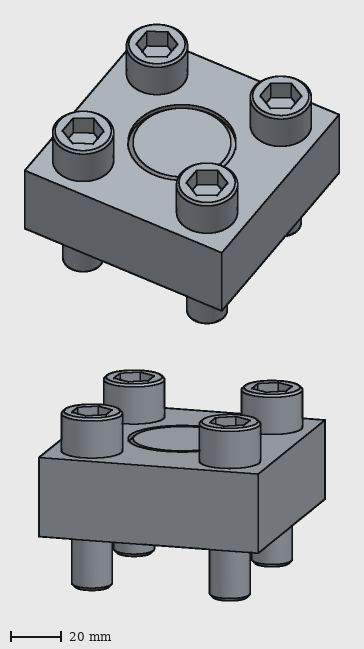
import cadquery as cq
import math

plate_side = 90.0
plate_thickness = 32.0

spigot_diameter = 60.0
spigot_height = 4.0

plug_diameter = 42.4
plug_chamfer = 2.0

bolt_circle_diameter = 80.0
screw_pitch = bolt_circle_diameter / math.sqrt(2)
head_diameter = 24.0
head_height = 16.0
head_chamfer = 1.0
shank_diameter = 16.0
shank_projection = 22.95
shank_chamfer = 1.35
socket_across_flats = 14.0
socket_depth = 8.0


def make_plate():
    """Plate with the spigot below and the ring groove around the plug on top."""
    plate = cq.Workplane("XY").box(
        plate_side, plate_side, plate_thickness, centered=(True, True, False)
    )
    spigot = cq.Workplane("XY").circle(spigot_diameter / 2).extrude(-spigot_height)
    bore = (
        cq.Workplane("XY", origin=(0, 0, plate_thickness))
        .circle(plug_diameter / 2)
        .extrude(-plug_chamfer)
    )
    plug_rim = (
        cq.Workplane("XY", origin=(0, 0, plate_thickness - plug_chamfer))
        .circle(plug_diameter / 2)
        .workplane(offset=plug_chamfer)
        .circle(plug_diameter / 2 - plug_chamfer)
        .loft(ruled=True)
    )
    ring_groove = bore.cut(plug_rim)
    return plate.union(spigot).cut(ring_groove)


def make_screw():
    """Screw on the Z axis, its head seated on the plate's top face."""
    head = (
        cq.Workplane("XY", origin=(0, 0, plate_thickness))
        .circle(head_diameter / 2)
        .extrude(head_height)
        .faces(">Z")
        .chamfer(head_chamfer)
    )
    shank = (
        cq.Workplane("XY", origin=(0, 0, -shank_projection))
        .circle(shank_diameter / 2)
        .extrude(shank_projection + plate_thickness)
        .faces("<Z")
        .chamfer(shank_chamfer)
    )
    socket = (
        cq.Workplane("XY", origin=(0, 0, plate_thickness + head_height - socket_depth))
        .polygon(6, socket_across_flats, circumscribed=True)
        .extrude(socket_depth)
    )
    return head.union(shank).cut(socket)


result = make_plate()
for x_side in (-1, 1):
    for y_side in (-1, 1):
        position = (x_side * screw_pitch / 2, y_side * screw_pitch / 2, 0)
        result = result.union(make_screw().translate(position))